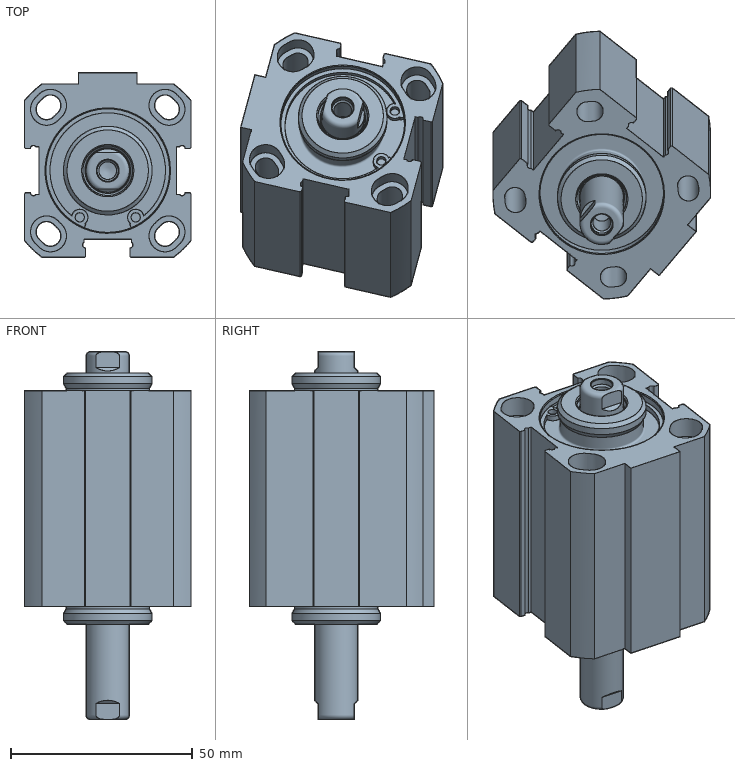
import cadquery as cq
import math


BODY_HEIGHT = 59.6
BODY_WIDTH = 46.0
BODY_DEPTH = 47.9
CORNER_RADIUS = 30.0
RAIL_WIDTH = 16.2
RAIL_HEIGHT = 3.0

SLOT_FLOOR_DISTANCE = 19.0
SLOT_MOUTH_WIDTH = 12.2
SLOT_FLOOR_WIDTH = 13.1
SLOT_LIP_DISTANCE = 20.5
SLOT_RELIEF_DIAMETER = 1.6
SLOT_MOUTH_CHAMFER = 0.3

MOUNT_X = 16.3
MOUNT_Y = 17.5
MOUNT_HOLE_WIDTH = 5.7
MOUNT_BORE_WIDTH = 8.8
MOUNT_STRETCH = 1.5
MOUNT_BORE_DEPTH = 5.7

BORE_DIAMETER = 34.1
MOUTH_DIAMETER = 34.6
MOUTH_CHAMFER = (MOUTH_DIAMETER - BORE_DIAMETER) / 2
GROOVE_DIAMETER = 35.8
RING_DEPTH = 2.0
RING_THICKNESS = 1.5
COVER_RECESS = RING_DEPTH + RING_THICKNESS
PLATE_THICKNESS = 10.2
SEAT_DEPTH = COVER_RECESS + PLATE_THICKNESS

RING_INNER_DIAMETER = 31.9
EAR_X = 7.7
EAR_Y = -12.9
EAR_RADIUS = 2.2
EAR_HOLE_DIAMETER = 2.5

COLLAR_DIAMETER = 24.5
NECK_DIAMETER = 23.0
COLLAR_PROJECTION = 4.9
COLLAR_CHAMFER = 1.0
COLLAR_BAND = 1.9
NECK_EXPOSED = 0.6
NECK_FILLET = 0.5
WIPER_MOUTH_DIAMETER = 14.4
WIPER_BORE_DIAMETER = 13.7
WIPER_LIP_DIAMETER = 12.6
WIPER_BORE_DEPTH = 1.0
WIPER_LIP_DEPTH = 2.0

ROD_DIAMETER = 12.0
ROD_LENGTH = 101.5
ROD_TOP = 70.3
ROD_BOTTOM = ROD_TOP - ROD_LENGTH
ROD_FILLET = 1.2
FLAT_SPACING = 10.0
FLAT_LENGTH = 4.4
FLAT_DEPTH = (ROD_DIAMETER - FLAT_SPACING) / 2
SOCKET_MOUTH_DIAMETER = 6.3
SOCKET_DIAMETER = 5.9
SOCKET_DEPTH = 1.7
SOCKET_CONE = 0.5
PILOT_DIAMETER = 4.9
PILOT_DEPTH = 12.2
PILOT_TIP = 0.5


def cylinder(diameter, bottom, top):
    return cq.Workplane("XY").workplane(offset=bottom).circle(diameter / 2).extrude(top - bottom)


def mirror_ends(solid):
    """Mirror a solid about the mid-height plane of the housing."""
    return solid.mirror("XY", (0, 0, BODY_HEIGHT / 2))



def make_blank():
    block = cq.Workplane("XY").rect(BODY_WIDTH, BODY_DEPTH).extrude(BODY_HEIGHT)
    block = block.intersect(cylinder(2 * CORNER_RADIUS, 0, BODY_HEIGHT))
    rail_reach = BODY_DEPTH / 2 + RAIL_HEIGHT
    rail = (
        cq.Workplane("XY")
        .center(0, rail_reach / 2)
        .rect(RAIL_WIDTH, rail_reach)
        .extrude(BODY_HEIGHT)
    )
    return block.union(rail)


def make_slot(face_distance):
    """Slot open toward +X, in a side face at the given distance from the Z axis."""
    half_mouth = SLOT_MOUTH_WIDTH / 2
    half_floor = SLOT_FLOOR_WIDTH / 2
    half_flare = half_mouth + SLOT_MOUTH_CHAMFER
    slot = (
        cq.Workplane("XY")
        .polyline([
            (SLOT_FLOOR_DISTANCE, -half_floor),
            (SLOT_LIP_DISTANCE, -half_floor),
            (SLOT_LIP_DISTANCE, -half_mouth),
            (face_distance - SLOT_MOUTH_CHAMFER, -half_mouth),
            (face_distance, -half_flare),
            (face_distance, half_flare),
            (face_distance - SLOT_MOUTH_CHAMFER, half_mouth),
            (SLOT_LIP_DISTANCE, half_mouth),
            (SLOT_LIP_DISTANCE, half_floor),
            (SLOT_FLOOR_DISTANCE, half_floor),
        ])
        .close()
        .extrude(BODY_HEIGHT)
    )
    reliefs = (
        cq.Workplane("XY")
        .pushPoints([(SLOT_LIP_DISTANCE, -half_mouth), (SLOT_LIP_DISTANCE, half_mouth)])
        .circle(SLOT_RELIEF_DIAMETER / 2)
        .extrude(BODY_HEIGHT)
    )
    return slot.union(reliefs)


def make_mount_hole(x_side, y_side):
    """Counterbored obround hole, stretched across the corner diagonal."""
    def obround(width, bottom):
        return (
            cq.Workplane("XY")
            .workplane(offset=bottom)
            .center(x_side * MOUNT_X, y_side * MOUNT_Y)
            .slot2D(width + MOUNT_STRETCH, width, -45 * x_side * y_side)
            .extrude(BODY_HEIGHT - bottom)
        )

    counterbore = obround(MOUNT_BORE_WIDTH, BODY_HEIGHT - MOUNT_BORE_DEPTH)
    return obround(MOUNT_HOLE_WIDTH, 0).union(counterbore)


def make_cover_seat():
    """Blind bore at the top end with a chamfered mouth."""
    bore_radius = BORE_DIAMETER / 2
    seat_bottom = BODY_HEIGHT - SEAT_DEPTH
    return (
        cq.Workplane("XZ")
        .polyline([
            (0, seat_bottom),
            (bore_radius, seat_bottom),
            (bore_radius, BODY_HEIGHT - MOUTH_CHAMFER),
            (bore_radius + MOUTH_CHAMFER, BODY_HEIGHT),
            (0, BODY_HEIGHT),
        ])
        .close()
        .revolve(360, (0, 0, 0), (0, 1, 0))
    )


def make_housing():
    housing = make_blank()
    for angle, face_distance in ((0, BODY_WIDTH / 2), (180, BODY_WIDTH / 2), (-90, BODY_DEPTH / 2)):
        housing = housing.cut(make_slot(face_distance).rotate((0, 0, 0), (0, 0, 1), angle))
    for x_side in (-1, 1):
        for y_side in (-1, 1):
            housing = housing.cut(make_mount_hole(x_side, y_side))
    seat = make_cover_seat()
    ring_top = BODY_HEIGHT - RING_DEPTH
    groove = cylinder(GROOVE_DIAMETER, ring_top - RING_THICKNESS, ring_top)
    rod_hole = cylinder(ROD_DIAMETER, 0, BODY_HEIGHT)
    return housing.cut(seat).cut(mirror_ends(seat)).cut(groove).cut(rod_hole)



def make_cover():
    """Top end cover: a turned plate with a lipped collar around the rod."""
    plate_bottom = BODY_HEIGHT - SEAT_DEPTH
    plate_top = BODY_HEIGHT - COVER_RECESS
    collar_top = BODY_HEIGHT + COLLAR_PROJECTION
    band_top = collar_top - COLLAR_CHAMFER
    rod_radius = ROD_DIAMETER / 2
    neck_radius = NECK_DIAMETER / 2
    collar_radius = COLLAR_DIAMETER / 2
    wiper_radius = WIPER_BORE_DIAMETER / 2
    mouth_radius = WIPER_MOUTH_DIAMETER / 2
    lip_radius = WIPER_LIP_DIAMETER / 2
    arc_middle = NECK_FILLET * (1 - math.sqrt(0.5))
    return (
        cq.Workplane("XZ")
        .moveTo(rod_radius, plate_bottom)
        .lineTo(BORE_DIAMETER / 2, plate_bottom)
        .lineTo(BORE_DIAMETER / 2, plate_top)
        .lineTo(neck_radius + NECK_FILLET, plate_top)
        .threePointArc(
            (neck_radius + arc_middle, plate_top + arc_middle),
            (neck_radius, plate_top + NECK_FILLET),
        )
        .lineTo(neck_radius, BODY_HEIGHT + NECK_EXPOSED)
        .lineTo(collar_radius, band_top - COLLAR_BAND)
        .lineTo(collar_radius, band_top)
        .lineTo(collar_radius - COLLAR_CHAMFER, collar_top)
        .lineTo(mouth_radius, collar_top)
        .lineTo(wiper_radius, collar_top - (mouth_radius - wiper_radius))
        .lineTo(wiper_radius, collar_top - WIPER_BORE_DEPTH)
        .lineTo(lip_radius, collar_top - WIPER_LIP_DEPTH)
        .lineTo(rod_radius, collar_top - WIPER_LIP_DEPTH)
        .close()
        .revolve(360, (0, 0, 0), (0, 1, 0))
    )



def make_retaining_ring():
    """Internal retaining ring, open toward -Y, with an eared end on each side of the gap."""
    bottom = BODY_HEIGHT - COVER_RECESS
    top = bottom + RING_THICKNESS
    ear_points = [(-EAR_X, EAR_Y), (EAR_X, EAR_Y)]
    plane = cq.Workplane("XY").workplane(offset=bottom)
    ears = plane.pushPoints(ear_points).circle(EAR_RADIUS).extrude(RING_THICKNESS)
    ear_holes = plane.pushPoints(ear_points).circle(EAR_HOLE_DIAMETER / 2).extrude(RING_THICKNESS)

    ear_angle = math.atan2(EAR_X, -EAR_Y)
    gap_angle = ear_angle - math.asin(EAR_RADIUS / math.hypot(EAR_X, EAR_Y))
    gap_reach = GROOVE_DIAMETER
    gap_x = gap_reach * math.tan(gap_angle)
    gap = (
        plane.polyline([(0, 0), (-gap_x, -gap_reach), (gap_x, -gap_reach)])
        .close()
        .extrude(RING_THICKNESS)
    )
    band = cylinder(GROOVE_DIAMETER, bottom, top).cut(cylinder(RING_INNER_DIAMETER, bottom, top))
    return band.cut(gap).union(ears).cut(ear_holes)



def make_wrench_flat():
    """Cutter for the +Y wrench flat at the upper rod end, with a 45 degree run-out."""
    flat_y = FLAT_SPACING / 2
    flat_end = ROD_TOP - FLAT_LENGTH
    return (
        cq.Workplane("YZ")
        .polyline([
            (flat_y, ROD_TOP),
            (flat_y, flat_end),
            (flat_y + FLAT_DEPTH, flat_end - FLAT_DEPTH),
            (flat_y + FLAT_DEPTH, ROD_TOP),
        ])
        .close()
        .extrude(ROD_DIAMETER / 2, both=True)
    )


def make_end_hole():
    """Axial hole in the upper rod end: chamfered socket, cone, pilot hole and drill tip."""
    mouth_chamfer = (SOCKET_MOUTH_DIAMETER - SOCKET_DIAMETER) / 2
    cone_top = ROD_TOP - SOCKET_DEPTH
    pilot_end = ROD_TOP - PILOT_DEPTH
    return (
        cq.Workplane("XZ")
        .polyline([
            (0, ROD_TOP),
            (SOCKET_MOUTH_DIAMETER / 2, ROD_TOP),
            (SOCKET_DIAMETER / 2, ROD_TOP - mouth_chamfer),
            (SOCKET_DIAMETER / 2, cone_top),
            (PILOT_DIAMETER / 2, cone_top - SOCKET_CONE),
            (PILOT_DIAMETER / 2, pilot_end),
            (0, pilot_end - PILOT_TIP),
        ])
        .close()
        .revolve(360, (0, 0, 0), (0, 1, 0))
    )


def make_rod():
    rod = cylinder(ROD_DIAMETER, ROD_BOTTOM, ROD_TOP).edges().fillet(ROD_FILLET)
    flat = make_wrench_flat()
    end_cuts = flat.union(flat.mirror("XZ")).union(make_end_hole())
    rod_middle = (ROD_TOP + ROD_BOTTOM) / 2
    return rod.cut(end_cuts).cut(end_cuts.mirror("XY", (0, 0, rod_middle)))


housing = make_housing()
top_cover = make_cover()
bottom_cover = mirror_ends(top_cover)
retaining_ring = make_retaining_ring()
rod = make_rod()

result = cq.Compound.makeCompound([
    housing.val(),
    top_cover.val(),
    bottom_cover.val(),
    retaining_ring.val(),
    rod.val(),
])